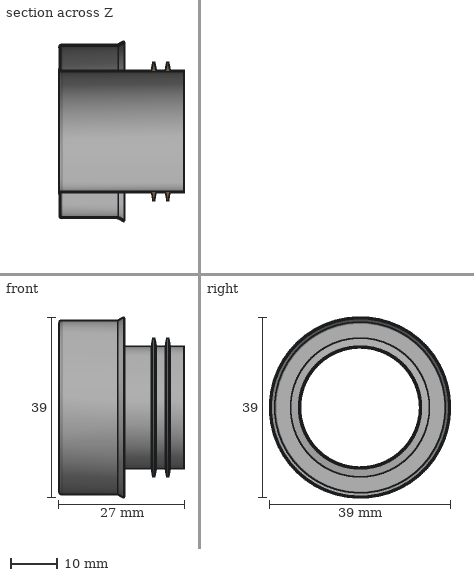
import cadquery as cq
import math

wall = 0.4
tube_length = 27.0
tube_outer_r = 26.5 / 2
bore_r = tube_outer_r - wall
skirt_outer_r = 37.6 / 2
skirt_inner_r = skirt_outer_r - wall
bend_outer_r = 0.6
bend_inner_r = bend_outer_r - wall

lip_r = 19.5
lip_start_x = 12.7
lip_angle = math.radians(30)

rib_r = 14.98
rib_base_width = 1.0
rib_tip_width = 0.4
first_rib_x = 20.45
rib_pitch = 3.0
rib_count = 2
rib_root_depth = wall / 2


def revolve_about_x(profile):
    return profile.close().revolve(360, (0, 0, 0), (1, 0, 0))


def make_shell():
    """Ring-shaped channel: tube, rounded front ring and flared skirt."""
    section = cq.Workplane("XY").moveTo(bend_outer_r, bore_r).lineTo(tube_length, bore_r)
    section = section.lineTo(tube_length, tube_outer_r).lineTo(wall + bend_inner_r, tube_outer_r)
    diagonal = bend_inner_r * (1 - math.sqrt(0.5))
    section = section.threePointArc(
        (wall + diagonal, tube_outer_r + diagonal),
        (wall, tube_outer_r + bend_inner_r),
    )
    section = section.lineTo(wall, skirt_inner_r - bend_inner_r)
    section = section.threePointArc(
        (wall + diagonal, skirt_inner_r - diagonal),
        (wall + bend_inner_r, skirt_inner_r),
    )
    inner_lip_start_x = lip_start_x + wall * math.tan(lip_angle / 2)
    lip_tip_x = lip_start_x + (lip_r - skirt_outer_r) / math.tan(lip_angle)
    section = section.lineTo(inner_lip_start_x, skirt_inner_r)
    section = section.lineTo(lip_tip_x + wall * math.sin(lip_angle), lip_r - wall * math.cos(lip_angle))
    section = section.lineTo(lip_tip_x, lip_r).lineTo(lip_start_x, skirt_outer_r)
    section = section.lineTo(bend_outer_r, skirt_outer_r)
    diagonal = bend_outer_r * (1 - math.sqrt(0.5))
    section = section.threePointArc(
        (diagonal, skirt_outer_r - diagonal), (0, skirt_outer_r - bend_outer_r)
    )
    section = section.lineTo(0, bore_r + bend_outer_r)
    section = section.threePointArc((diagonal, bore_r + diagonal), (bend_outer_r, bore_r))
    return revolve_about_x(section)


def make_rib(center_x):
    half_base = rib_base_width / 2
    half_tip = rib_tip_width / 2
    root_r = tube_outer_r - rib_root_depth
    profile = cq.Workplane("XY").polyline([
        (center_x - half_base, root_r),
        (center_x - half_base, tube_outer_r),
        (center_x - half_tip, rib_r),
        (center_x + half_tip, rib_r),
        (center_x + half_base, tube_outer_r),
        (center_x + half_base, root_r),
    ])
    return revolve_about_x(profile)


result = make_shell()
for index in range(rib_count):
    result = result.union(make_rib(first_rib_x + index * rib_pitch))